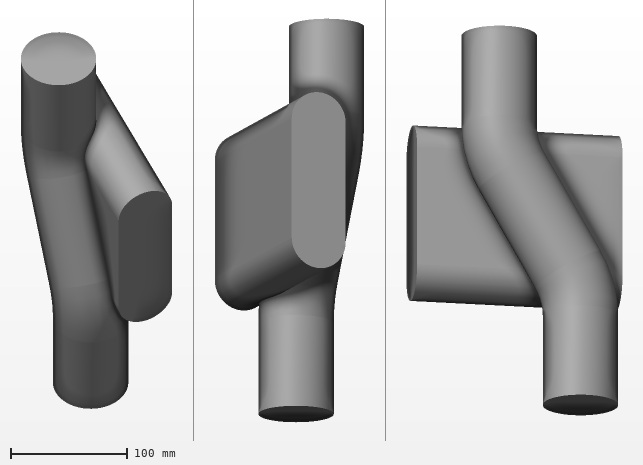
import cadquery as cq
import math

overall_height = 326.5
pipe_diameter = 65.0
end_length = 80.0
bend_radius = 80.7
bend_angle = math.radians(30)
top_end_x = -20.0

block_width = 180.0
block_thickness = 50.0
block_height = 155.0
block_center_z = 10.8

overall_depth = 92.5
pipe_y = block_thickness / 2 + pipe_diameter / 2 - overall_depth

bend_shift = bend_radius * (1 - math.cos(bend_angle))
bend_drop = bend_radius * math.sin(bend_angle)
half_bend_shift = bend_radius * (1 - math.cos(bend_angle / 2))
half_bend_drop = bend_radius * math.sin(bend_angle / 2)
slant_drop = overall_height - 2 * (end_length + bend_drop)
slant_shift = slant_drop * math.tan(bend_angle)


def make_pipe():
    """Solid round pipe swept along its centre line, from top to bottom."""
    top_z = overall_height / 2
    upper_bend_z = top_z - end_length
    bottom_end_x = top_end_x + 2 * bend_shift + slant_shift
    path = (
        cq.Workplane("XZ", origin=(0, pipe_y, 0))
        .moveTo(top_end_x, top_z)
        .lineTo(top_end_x, upper_bend_z)
        .threePointArc(
            (top_end_x + half_bend_shift, upper_bend_z - half_bend_drop),
            (top_end_x + bend_shift, upper_bend_z - bend_drop),
        )
        .line(slant_shift, -slant_drop)
        .threePointArc(
            (bottom_end_x - half_bend_shift, half_bend_drop - upper_bend_z),
            (bottom_end_x, -upper_bend_z),
        )
        .lineTo(bottom_end_x, -top_z)
    )
    return (
        cq.Workplane("XY", origin=(top_end_x, pipe_y, top_z))
        .circle(pipe_diameter / 2)
        .sweep(path)
    )


def make_block(pipe):
    """Slot-shaped bar along X with a groove that fits the pipe."""
    bar = (
        cq.Workplane("YZ", origin=(0, 0, block_center_z))
        .slot2D(block_height, block_thickness, 90)
        .extrude(block_width / 2, both=True)
    )
    return bar.cut(pipe)


pipe = make_pipe()
block = make_block(pipe)

result = cq.Compound.makeCompound([pipe.val(), *block.solids().vals()])